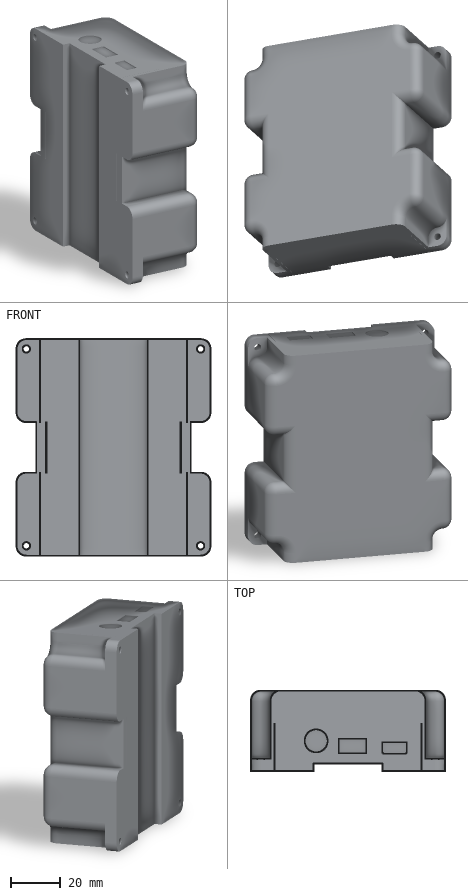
import cadquery as cq

width = 77.8
depth = 32.3
height = 86.8
edge_radius = 4.0

body_half_width = 31.0
lobe_inner_z = 10.1
lobe_outer_z = height / 2 - 2 * edge_radius
ear_thickness = 4.95
screw_hole_diameter = 2.9

channel_width = 27.4
channel_depth = 3.0

groove_depth = 18.9
seam_width = 0.1
seam_offset = 29.4
clip_slot_width = 0.5
clip_slot_offset = 26.9

port_depth = 0.4
jack_diameter = 9.2
jack_center = (-12.8, 12.15)
usb_size = (11.0, 5.7)
usb_center = (1.7, 10.1)
micro_usb_size = (9.7, 4.8)
micro_usb_center = (18.7, 9.3)
micro_usb_chamfer = 0.5


def extrude_to_cover(outline, length):
    """Extrude an outline drawn in X and Z from Y = 0 towards +Y."""
    return outline.extrude(-length)


def main_shell():
    """Body with four side lobes, rounded along the side edges of the cover."""
    half_width = width / 2
    half_height = height / 2
    lobe_edge_x = half_width - edge_radius
    blend_radius = lobe_edge_x - body_half_width
    quarter = (
        cq.Workplane("XZ")
        .lineTo(body_half_width, 0)
        .lineTo(body_half_width, lobe_inner_z)
        .lineTo(lobe_edge_x, lobe_inner_z)
        .tangentArcPoint((half_width, lobe_inner_z + edge_radius), relative=False)
        .lineTo(half_width, lobe_outer_z - edge_radius)
        .tangentArcPoint((lobe_edge_x, lobe_outer_z), relative=False)
        .tangentArcPoint((body_half_width, lobe_outer_z + blend_radius), relative=False)
        .lineTo(body_half_width, half_height)
        .lineTo(0, half_height)
        .close()
    )
    upper_right = extrude_to_cover(quarter, depth)
    upper = upper_right.union(upper_right.mirror("YZ"))
    shell = upper.union(upper.mirror("XY")).clean()
    side_edges = shell.faces(">Y").edges("not(>Z or <Z)")
    return side_edges.fillet(edge_radius)


def mounting_ears():
    """Thin plates with rounded corners that fill out the four corners at the mounting face."""
    plate_height = height / 2 - lobe_inner_z
    plates = cq.Workplane("XZ").pushPoints(
        [(0, side * (lobe_inner_z + plate_height / 2)) for side in (-1, 1)]
    )
    return extrude_to_cover(plates.rect(width, plate_height), ear_thickness).edges("|Y").fillet(edge_radius)


def screw_holes():
    """One hole through each ear, concentric with its rounded corner."""
    pattern = cq.Workplane("XZ").rect(width - 2 * edge_radius, height - 2 * edge_radius, forConstruction=True)
    return extrude_to_cover(pattern.vertices().circle(screw_hole_diameter / 2), ear_thickness)


def rail_channel():
    """Channel along the full height of the mounting face."""
    return cq.Workplane("XY").box(channel_width, channel_depth, height, centered=(True, False, True))


def groove(x, z_center, groove_width, length):
    """Narrow groove parallel to Z, cut from the mounting face."""
    blank = cq.Workplane("XY").box(groove_width, groove_depth, length, centered=(True, False, True))
    return blank.translate((x, 0, z_center))


def side_grooves():
    """Seams running from the ends to the waist, and clip slots beside the waist."""
    seam_length = height / 2 - lobe_inner_z
    seam_center_z = lobe_inner_z + seam_length / 2
    grooves = cq.Workplane("XY")
    for side in (-1, 1):
        grooves = grooves.add(groove(side * clip_slot_offset, 0, clip_slot_width, 2 * lobe_inner_z))
        for end in (-1, 1):
            grooves = grooves.add(groove(side * seam_offset, end * seam_center_z, seam_width, seam_length))
    return grooves.combine()


def port_plane(center):
    """Workplane at the floor of the port recesses, centered on one port."""
    return cq.Workplane("XY", origin=(*center, height / 2 - port_depth))


def port_recesses():
    """Round jack, USB and micro USB recesses in the +Z end."""
    jack = port_plane(jack_center).circle(jack_diameter / 2).extrude(port_depth)
    usb = port_plane(usb_center).rect(*usb_size).extrude(port_depth)
    micro_usb = port_plane(micro_usb_center).rect(*micro_usb_size).extrude(port_depth)
    micro_usb = micro_usb.faces("<Y").edges("|Z").chamfer(micro_usb_chamfer)
    return jack.add(usb).add(micro_usb).combine()


result = (
    main_shell()
    .union(mounting_ears())
    .cut(screw_holes())
    .cut(rail_channel())
    .cut(side_grooves())
    .cut(port_recesses())
)